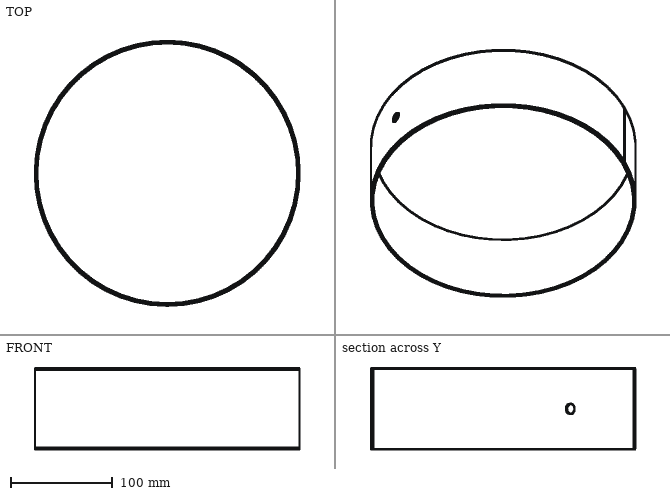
import cadquery as cq

outer_diameter = 260.0
wall = 2.5
height = 80.0

outer_chamfer_height = 2.0
outer_chamfer_width = 0.7
bore_chamfer = 0.8

slit_width = 1.5
slit_offset = 1.0

hole_diameter = 10.0
hole_angle = 59.0

outer_radius = outer_diameter / 2
bore_radius = outer_radius - wall


def make_ring():
    """Revolve the wall section, chamfered at both ends, about Z."""
    top = height / 2
    outer_chamfer_start = top - outer_chamfer_height
    bore_chamfer_start = top - bore_chamfer
    outer_rim_radius = outer_radius - outer_chamfer_width
    bore_rim_radius = bore_radius + bore_chamfer
    section = [
        (bore_radius, -bore_chamfer_start),
        (bore_rim_radius, -top),
        (outer_rim_radius, -top),
        (outer_radius, -outer_chamfer_start),
        (outer_radius, outer_chamfer_start),
        (outer_rim_radius, top),
        (bore_rim_radius, top),
        (bore_radius, bore_chamfer_start),
    ]
    return cq.Workplane("XZ").polyline(section).close().revolve(360, (0, 0, 0), (0, 1, 0))


def make_slit():
    """Full-height cutter reaching from the axis out through the -X wall."""
    cutter = cq.Workplane("XY").box(outer_diameter, slit_width, height)
    return cutter.translate((-outer_radius, slit_offset, 0))


def make_hole():
    """Radial cylinder from the axis out through one wall."""
    cutter = cq.Workplane("YZ").circle(hole_diameter / 2).extrude(outer_diameter)
    return cutter.rotate((0, 0, 0), (0, 0, 1), hole_angle)


result = make_ring().cut(make_slit()).cut(make_hole())